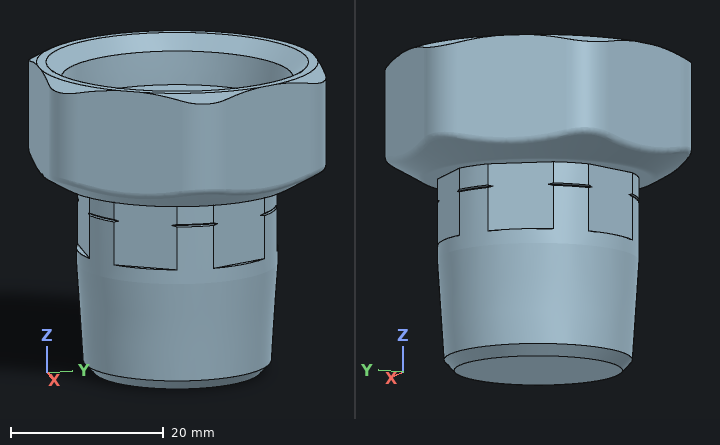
import cadquery as cq
import math

total_height = 41.5
lead_in_height = 1.4
taper_top = 14.6
neck_flats_bottom = 16.55
groove_height = 22.5
nut_bottom = 25.5

tip_radius = 11.05
taper_small_radius = 12.35
neck_radius = 13.25
neck_across_flats = 25.0
groove_depth = 0.2
groove_width = 0.35

nut_across_flats = 36.8
nut_corner_radius = 5.8
cone_angle = 30.0
top_face_radius = 18.45
bottom_face_radius = 15.35
cone_edge_fillet = 1.0
bottom_edge_fillet = 1.65

socket_radius = 15.2
socket_floor_radius = 15.02
socket_mouth_radius = 17.22
socket_depth = 6.5


def hexagonal_bar(across_flats, bottom, top):
    """Hexagonal prism with two flats facing +Y and -Y."""
    across_corners = across_flats / math.cos(math.pi / 6)
    bar = cq.Workplane("XY").workplane(offset=bottom)
    return bar.polygon(6, across_corners).extrude(top - bottom)


def turned(profile):
    """Solid of revolution about Z from (radius, height) points."""
    return cq.Workplane("XZ").polyline(profile).close().revolve(360, (0, 0), (0, 1))


def make_spigot():
    """Tapered spigot with a lead-in chamfer and a short cylindrical collar."""
    return turned([
        (0, 0),
        (tip_radius, 0),
        (taper_small_radius, lead_in_height),
        (neck_radius, taper_top),
        (neck_radius, neck_flats_bottom),
        (0, neck_flats_bottom),
    ])


def make_neck():
    """Grooved cylinder trimmed by six flats; it ends inside the nut."""
    neck_top = nut_bottom + bottom_edge_fillet
    groove_bottom = groove_height - groove_width / 2
    groove_top = groove_height + groove_width / 2
    grooved_cylinder = turned([
        (0, neck_flats_bottom),
        (neck_radius, neck_flats_bottom),
        (neck_radius, groove_bottom),
        (neck_radius - groove_depth, groove_height),
        (neck_radius, groove_top),
        (neck_radius, neck_top),
        (0, neck_top),
    ])
    flats = hexagonal_bar(neck_across_flats, neck_flats_bottom, neck_top)
    return grooved_cylinder.intersect(flats)


def make_nut():
    """Hexagonal nut with rounded corners and coned ends."""
    bar = hexagonal_bar(nut_across_flats, nut_bottom, total_height)
    bar = bar.edges("|Z").fillet(nut_corner_radius)

    slope = math.tan(math.radians(cone_angle))
    outer_radius = nut_across_flats / math.sqrt(3)
    lower_cone_top = nut_bottom + (outer_radius - bottom_face_radius) * slope
    upper_cone_bottom = total_height - (outer_radius - top_face_radius) * slope
    coned_blank = turned([
        (0, nut_bottom),
        (bottom_face_radius, nut_bottom),
        (outer_radius, lower_cone_top),
        (outer_radius, upper_cone_bottom),
        (top_face_radius, total_height),
        (0, total_height),
    ])
    nut = bar.intersect(coned_blank)

    nut = nut.faces("%CONE").faces("<Z").edges("not <Z").fillet(cone_edge_fillet)
    return nut.faces("<Z").edges().fillet(bottom_edge_fillet)


def make_socket():
    """Cutter for the slightly tapered blind socket and its 45 degree mouth."""
    mouth_bottom = total_height - (socket_mouth_radius - socket_radius)
    floor = total_height - socket_depth
    return turned([
        (0, floor),
        (socket_floor_radius, floor),
        (socket_radius, mouth_bottom),
        (socket_mouth_radius, total_height),
        (0, total_height),
    ])


result = make_spigot().union(make_neck()).union(make_nut()).cut(make_socket())